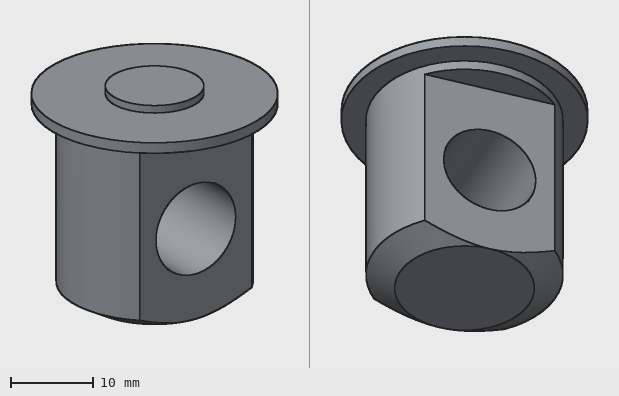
import cadquery as cq
import math

total_height = 28.0
flange_diameter = 30.0
flange_thickness = 1.4
boss_diameter = 12.0
boss_height = 1.0
body_diameter = 24.0
flat_width = 17.0
collar_height = 1.3
hole_diameter = 12.0
hole_center_height = 12.0
chamfer_angle = 30.0

flange_top = total_height - boss_height
flange_bottom = flange_top - flange_thickness
flat_top = flange_bottom - collar_height

body_radius = body_diameter / 2
chamfer_inset = body_radius - flat_width / 2
chamfer_height = chamfer_inset * math.tan(math.radians(chamfer_angle))


def turned_blank():
    """Body, flange and top boss revolved about Z."""
    profile = (
        cq.Workplane("XZ")
        .lineTo(body_radius - chamfer_inset, 0)
        .lineTo(body_radius, chamfer_height)
        .lineTo(body_radius, flange_bottom)
        .lineTo(flange_diameter / 2, flange_bottom)
        .lineTo(flange_diameter / 2, flange_top)
        .lineTo(boss_diameter / 2, flange_top)
        .lineTo(boss_diameter / 2, total_height)
        .lineTo(0, total_height)
        .close()
    )
    return profile.revolve(360, (0, 0, 0), (0, 1, 0))


def flat_cutter(side):
    """Block that removes the body beyond the flat on the given X side."""
    center_x = side * (flat_width + body_diameter) / 2
    return (
        cq.Workplane("XY")
        .center(center_x, 0)
        .rect(body_diameter, body_diameter)
        .extrude(flat_top)
    )


def cross_hole():
    """Through hole along X, from flat to flat."""
    return (
        cq.Workplane("YZ")
        .center(0, hole_center_height)
        .circle(hole_diameter / 2)
        .extrude(body_radius, both=True)
    )


result = turned_blank()
for side in (-1, 1):
    result = result.cut(flat_cutter(side))
result = result.cut(cross_hole())